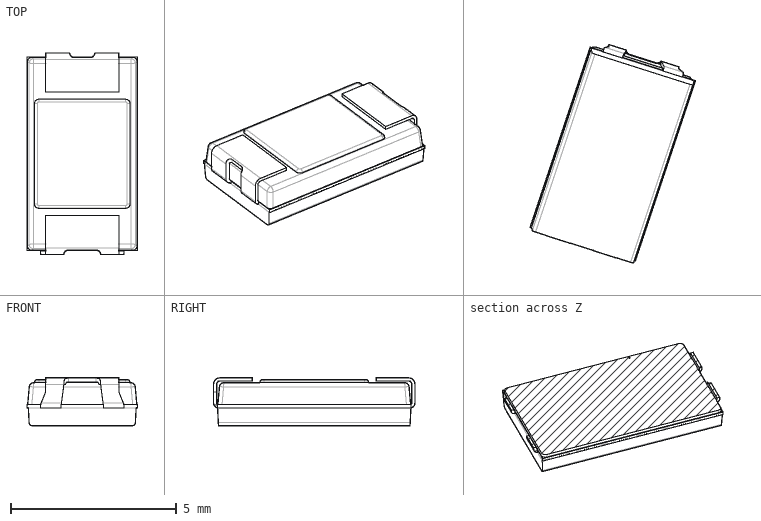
import cadquery as cq
import math

total_width = 3.35
total_length = 6.10
total_height = 1.454

rim_length = 5.86
rim_bottom = 0.54
rim_top = 0.64
lower_width = 3.27
lower_draft = 3.0
lower_edge_radius = 0.10
upper_width = 3.31
upper_length = 5.84
upper_top = 1.305
upper_draft = 5.0
upper_corner_radius = 0.13
upper_edge_radius = 0.14

pad_width = 2.89
pad_length = 3.30
pad_top = 1.40
pad_draft = 5.0
pad_corner_radius = 0.13
pad_edge_radius = 0.085

sheet = 0.10
terminal_width = 2.22
terminal_reach = 1.18
top_bend_radius = 0.20
foot_bend_radius = 0.15
foot_embed = 0.20

flare_width = 2.53
flare_start = 1.02
flare_end = 0.63
flare_blend_radius = 0.10

window_depth = 0.13
window_corner_radius = 0.14
front_window_width = 1.11
front_window_foot_width = 1.30
rear_window_width = 0.76

outer_y = total_length / 2
top_bend_z = total_height - top_bend_radius


def drafted_block(width, length, bottom, height, draft):
    """Rectangular block that narrows by the draft angle away from its base."""
    return cq.Workplane("XY").workplane(offset=bottom).rect(width, length).extrude(height, taper=draft)


def make_lower_body():
    block = drafted_block(lower_width, rim_length, 0, rim_bottom, lower_draft)
    block = block.mirror("XY").translate((0, 0, rim_bottom))
    return block.faces("<Z").edges("|Y").fillet(lower_edge_radius)


def make_rim():
    return drafted_block(total_width, rim_length, rim_bottom, rim_top - rim_bottom, 0)


def make_upper_body():
    block = drafted_block(upper_width, upper_length, rim_top, upper_top - rim_top, upper_draft)
    block = block.edges("not #Z").fillet(upper_corner_radius)
    return block.faces(">Z").edges().fillet(upper_edge_radius)


def make_pad():
    block = drafted_block(pad_width, pad_length, upper_top, pad_top - upper_top, pad_draft)
    block = block.edges("not #Z").fillet(pad_corner_radius)
    return block.faces(">Z").edges().fillet(pad_edge_radius)


def make_terminal_strip(width):
    """Sheet strip at the -Y end: flat top, upper bend, upright leg and foot turned into the rim."""
    diagonal = math.sqrt(0.5)
    top_inner = top_bend_radius - sheet
    foot_inner = foot_bend_radius - sheet
    top_bend_y = top_bend_radius - outer_y
    foot_bend_y = foot_bend_radius - outer_y
    foot_bend_z = rim_bottom + foot_bend_radius
    free_end_y = terminal_reach - outer_y
    foot_end_y = foot_bend_y + foot_embed

    def on_top_bend(radius):
        return (top_bend_y - radius * diagonal, top_bend_z + radius * diagonal)

    def on_foot_bend(radius):
        return (foot_bend_y - radius * diagonal, foot_bend_z - radius * diagonal)

    profile = (
        cq.Workplane("YZ")
        .moveTo(free_end_y, total_height)
        .lineTo(top_bend_y, total_height)
        .threePointArc(on_top_bend(top_bend_radius), (-outer_y, top_bend_z))
        .lineTo(-outer_y, foot_bend_z)
        .threePointArc(on_foot_bend(foot_bend_radius), (foot_bend_y, rim_bottom))
        .lineTo(foot_end_y, rim_bottom)
        .lineTo(foot_end_y, rim_bottom + sheet)
        .lineTo(foot_bend_y, rim_bottom + sheet)
        .threePointArc(on_foot_bend(foot_inner), (sheet - outer_y, foot_bend_z))
        .lineTo(sheet - outer_y, top_bend_z)
        .threePointArc(on_top_bend(top_inner), (top_bend_y, total_height - sheet))
        .lineTo(free_end_y, total_height - sheet)
        .close()
    )
    return profile.extrude(width / 2, both=True)


def make_window(width):
    """Upright cutter for the relief window, with rounded inner corners."""
    full_depth = 2 * window_depth
    block = cq.Workplane("XY").box(width, full_depth, total_height, centered=(True, True, False))
    return block.edges("|Z and >Y").fillet(window_corner_radius).translate((0, -outer_y, 0))


def make_front_outline():
    """Front terminal silhouette: straight sides flaring out to a wider foot."""
    half = terminal_width / 2
    foot_half = flare_width / 2
    right_side = [(half, total_height), (half, flare_start), (foot_half, flare_end), (foot_half, 0)]
    left_side = [(-x, z) for x, z in reversed(right_side)]
    outline = cq.Workplane("XZ").polyline(right_side + left_side).close().extrude(outer_y)
    shoulder_zone = cq.selectors.BoxSelector(
        (-foot_half, -total_length, flare_start - sheet / 2),
        (foot_half, total_length, flare_start + sheet / 2),
    )
    return outline.edges("|Y").edges(shoulder_zone).fillet(flare_blend_radius)


def make_leg_gap():
    """Cutter between the front legs, widening from the upper bend to the foot."""
    half = front_window_width / 2
    foot_half = front_window_foot_width / 2
    corners = [(-half, top_bend_z), (half, top_bend_z), (foot_half, rim_bottom), (-foot_half, rim_bottom)]
    return cq.Workplane("XZ").polyline(corners).close().extrude(outer_y)


def make_front_terminal():
    strip = make_terminal_strip(flare_width).intersect(make_front_outline())
    window = make_window(front_window_width)
    return strip.cut(window).cut(make_leg_gap())


def make_rear_terminal():
    strip = make_terminal_strip(terminal_width)
    strip = strip.cut(make_window(rear_window_width))
    return strip.mirror("XZ")


result = (
    make_lower_body()
    .union(make_rim())
    .union(make_upper_body())
    .union(make_pad())
    .union(make_front_terminal())
    .union(make_rear_terminal())
)